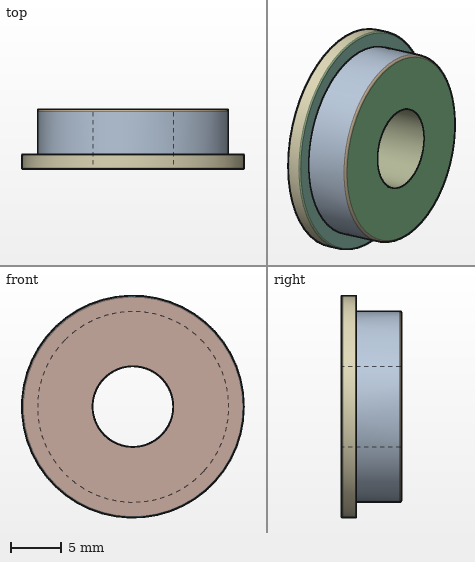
import cadquery as cq

flange_diameter = 22.1
body_diameter = 19.0
bore_diameter = 8.0
total_length = 6.0
flange_thickness = 1.5
flange_fillet = 0.13
body_fillet = 0.22


def disc(diameter, length, start_y):
    """Solid cylinder running from start_y toward +Y."""
    plane = cq.Workplane("XZ", origin=(0, start_y, 0))
    return plane.circle(diameter / 2).extrude(-length)


front_y = -total_length / 2

flange = disc(flange_diameter, flange_thickness, front_y).edges().fillet(flange_fillet)
body = disc(body_diameter, total_length, front_y).faces(">Y").edges().fillet(body_fillet)
bore = disc(bore_diameter, total_length, front_y)

result = flange.union(body).cut(bore)